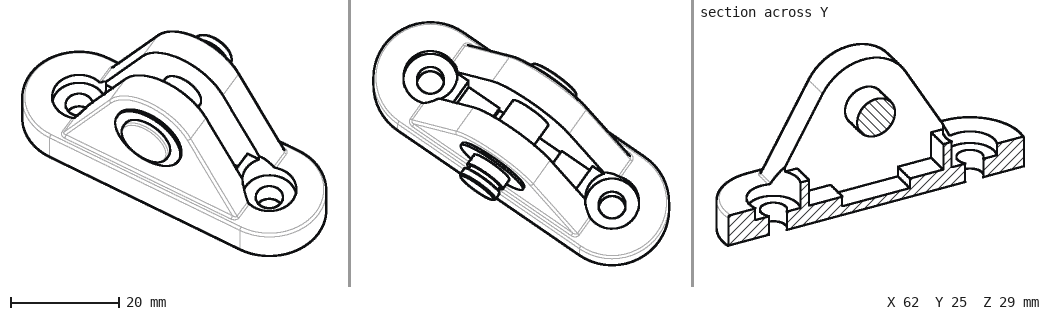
import cadquery as cq
import math

BASE_LENGTH = 62.0
BASE_WIDTH = 21.1
BASE_HEIGHT = 6.5
EDGE_RADIUS = 0.5

HOLE_OFFSET = (BASE_LENGTH - BASE_WIDTH) / 2
HOLE_DIAMETER = 5.0
COUNTERBORE_DIAMETER = 10.0
COUNTERBORE_FLOOR = 4.0

CHEEK_RADIUS = 10.0
TOTAL_HEIGHT = 29.0
PIN_HEIGHT = TOTAL_HEIGHT - CHEEK_RADIUS
CLEVIS_WIDTH = 18.0
FLANK_ANGLE = math.radians(60)
BOSS_DIAMETER = 14.0
BOSS_HEIGHT = 0.5

GAP_WIDTH = 6.0
GAP_FLOOR = 9.5
RECESS_LENGTH = 27.9
RECESS_FLOOR = COUNTERBORE_FLOOR
WELL_LENGTH = 14.0
WELL_FLOOR = 2.0

PIN_DIAMETER = 8.0
HEAD_DIAMETER = 10.0
HEAD_THICKNESS = 1.3
HEAD_EDGE_RADIUS = 0.3
PIN_LENGTH = 25.0
PIN_CHAMFER = 0.25
GROOVE_DIAMETER = 6.8
GROOVE_WIDTH = 1.0
GROOVE_END_DISTANCE = 1.55

BOSS_FACE = CLEVIS_WIDTH / 2 + BOSS_HEIGHT


def cylinder_along_y(diameter, y_start, length):
    """Cylinder on the pin axis, running toward +Y from y_start."""
    plane = cq.Plane(origin=(0, y_start, PIN_HEIGHT), xDir=(1, 0, 0), normal=(0, 1, 0))
    return cq.Workplane(plane).circle(diameter / 2).extrude(length)


def make_base():
    plate = cq.Workplane("XY").slot2D(BASE_LENGTH, BASE_WIDTH).extrude(BASE_HEIGHT)
    return plate.faces(">Z").edges().fillet(EDGE_RADIUS)


def make_clevis_block():
    """Triangular block whose straight flanks run tangent into a round top."""
    tangent_x = CHEEK_RADIUS * math.sin(FLANK_ANGLE)
    tangent_z = PIN_HEIGHT + CHEEK_RADIUS * math.cos(FLANK_ANGLE)
    foot_x = tangent_x + (tangent_z - BASE_HEIGHT) / math.tan(FLANK_ANGLE)
    block = (
        cq.Workplane("XZ")
        .moveTo(-foot_x, BASE_HEIGHT)
        .lineTo(-tangent_x, tangent_z)
        .threePointArc((0, TOTAL_HEIGHT), (tangent_x, tangent_z))
        .lineTo(foot_x, BASE_HEIGHT)
        .close()
        .extrude(CLEVIS_WIDTH / 2, both=True)
    )
    outer_edges = block.faces("<Y or >Y").edges("not(<Z)")
    return outer_edges.fillet(EDGE_RADIUS)


def fillet_foot(body):
    """Round the corner where the clevis block stands on the base."""
    margin = 0.05
    foot_box = cq.selectors.BoxSelector(
        (-HOLE_OFFSET, -CLEVIS_WIDTH / 2 - margin, BASE_HEIGHT - margin),
        (HOLE_OFFSET, CLEVIS_WIDTH / 2 + margin, BASE_HEIGHT + margin),
        boundingbox=True,
    )
    return body.edges(foot_box).fillet(EDGE_RADIUS)


def cut_gap(body):
    """Open the gap and sink its floor in two steps toward the middle."""
    steps = [
        (BASE_LENGTH, GAP_FLOOR),
        (RECESS_LENGTH, RECESS_FLOOR),
        (WELL_LENGTH, WELL_FLOOR),
    ]
    for length, floor in steps:
        cutter = (
            cq.Workplane("XY", origin=(0, 0, floor))
            .rect(length, GAP_WIDTH)
            .extrude(TOTAL_HEIGHT - floor)
        )
        body = body.cut(cutter)
    return body


def cut_mounting_holes(body):
    centres = [(-HOLE_OFFSET, 0), (HOLE_OFFSET, 0)]
    holes = cq.Workplane("XY").pushPoints(centres).circle(HOLE_DIAMETER / 2).extrude(BASE_HEIGHT)
    counterbores = (
        cq.Workplane("XY", origin=(0, 0, COUNTERBORE_FLOOR))
        .pushPoints(centres)
        .circle(COUNTERBORE_DIAMETER / 2)
        .extrude(TOTAL_HEIGHT - COUNTERBORE_FLOOR)
    )
    return body.cut(holes).cut(counterbores)


def make_bracket():
    bracket = fillet_foot(make_base().union(make_clevis_block()))
    for outer_face in (-BOSS_FACE, CLEVIS_WIDTH / 2):
        bracket = bracket.union(cylinder_along_y(BOSS_DIAMETER, outer_face, BOSS_HEIGHT))
    bracket = cut_mounting_holes(cut_gap(bracket))
    return bracket.cut(cylinder_along_y(PIN_DIAMETER, -BOSS_FACE, 2 * BOSS_FACE))


def make_pin():
    """Headed pin with a retaining-ring groove near its plain end."""
    head_y = -BOSS_FACE - HEAD_THICKNESS
    end_y = head_y + PIN_LENGTH
    head = cylinder_along_y(HEAD_DIAMETER, head_y, HEAD_THICKNESS).edges().fillet(HEAD_EDGE_RADIUS)
    shank = cylinder_along_y(PIN_DIAMETER, -BOSS_FACE, end_y + BOSS_FACE)
    shank = shank.faces(">Y").edges().chamfer(PIN_CHAMFER)
    groove_y = end_y - GROOVE_END_DISTANCE - GROOVE_WIDTH
    groove = cylinder_along_y(HEAD_DIAMETER, groove_y, GROOVE_WIDTH).cut(
        cylinder_along_y(GROOVE_DIAMETER, groove_y, GROOVE_WIDTH)
    )
    return shank.cut(groove).union(head)


bracket = make_bracket()
pin = make_pin()

result = cq.Compound.makeCompound([bracket.val(), pin.val()])